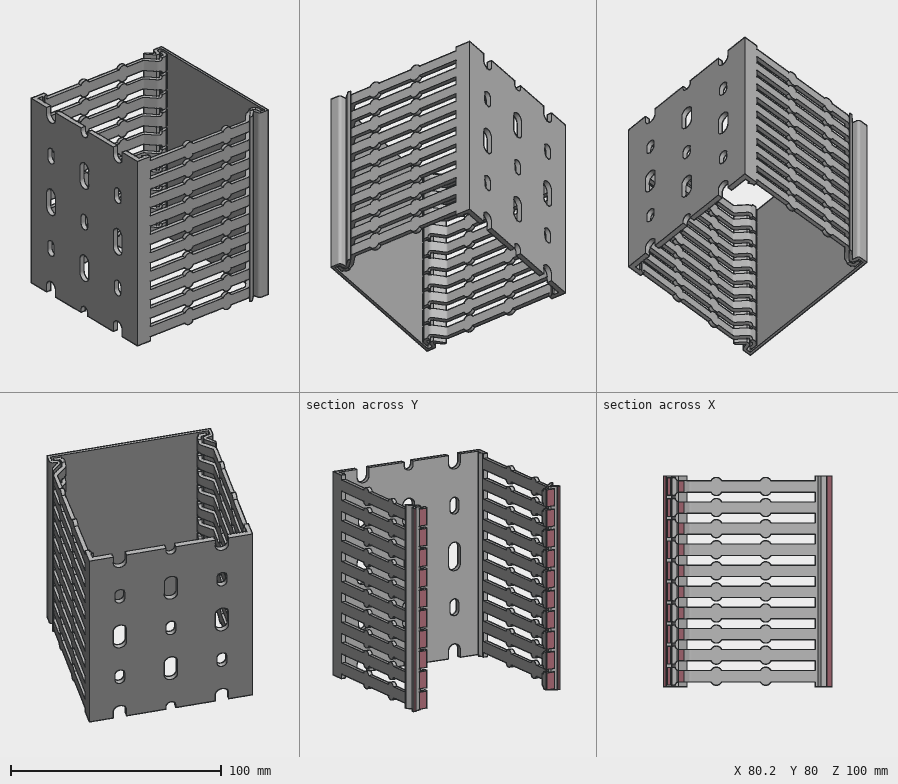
import cadquery as cq
import math


length = 100.0
depth = 80.0
cover_width = 80.2
duct_width = 80.0

floor_y = -depth / 2
cover_y = depth / 2
half_duct = duct_width / 2
half_cover = cover_width / 2

floor_thickness = 2.6
wall_foot_thickness = 2.2
wall_top_thickness = 1.8
skirt_height = 8.0

barb_top_y = floor_y + 6.8
barb_height = 1.6
barb_depth = 1.1

snap_angle = 42.0
snap_slope = math.tan(math.radians(snap_angle))
snap_rise = 1 / math.cos(math.radians(snap_angle))
snap_start_y = 28.5
snap_thickness = 2.1
bend_outer_radius = 3.0
bend_inner_radius = 1.5

hook_outer_x = 34.3
hook_thickness = 1.8
hook_inner_x = hook_outer_x - hook_thickness
hook_lip_x = 37.4
hook_bottom_y = 36.5
hook_top_y = 38.2
hook_chamfer = 0.6
hook_inner_chamfer = 1.0
hook_root_radius = 3.0

cover_thickness = 1.4
cover_lip_thickness = 1.3
cover_inner_y = cover_y - cover_thickness
lip_outer_y = 34.6
lip_inner_y = 36.2
lip_drop = 0.8
lip_fold_x = 36.6
lip_inner_x = 35.1
lip_end_y = 28.8
lip_corner_radius = 1.6
lip_end_radius = 1.2
fold_chamfer = 0.8

finger_count = 10
finger_pitch = length / finger_count
finger_height = 5.5
bulge_places = (-8.5, 14.9)
bulge_width = 5.0
bulge_rise = 1.6
head_start_y = 34.3
head_fillet = 1.5

slot_spacing = 25.0
large_slot = (14.0, 6.5)
small_slot = (8.2, 4.8)

match_tolerance = 0.01


def mirrored(points):
    """Continue an outline on the -X side with its reflection on the +X side."""
    return points + [(-x, y) for x, y in reversed(points)]


def corner_edges(body, corners):
    """Edges along Z that stand on the given corners, on both sides of X = 0."""
    edges = body.edges("|Z").vals()
    both_sides = mirrored(corners)
    found = [e for e in edges
             if any(math.dist(e.Center().toTuple()[:2], c) < match_tolerance for c in both_sides)]
    return body.newObject(found)


def snap_plane_y(x):
    """Height of the inclined contact plane at the distance x from the middle."""
    return snap_start_y + snap_slope * (half_duct - x)


def duct_section():
    """Full-length extrusion of the duct: floor, tapered walls, barbs and hooks."""
    foot_x = half_duct - wall_foot_thickness
    top_x = half_duct - wall_top_thickness
    barb_bottom_y = barb_top_y - barb_height
    snap_drop = snap_thickness * snap_rise
    outer_bend = (-half_duct, snap_start_y)
    inner_bend = (-top_x, snap_plane_y(top_x) - snap_drop)
    hook_root = (-hook_inner_x, snap_plane_y(hook_inner_x) - snap_drop)
    points = [
        (-half_duct, floor_y),
        outer_bend,
        (-hook_outer_x, snap_plane_y(hook_outer_x)),
        (-hook_outer_x, hook_bottom_y - hook_chamfer),
        (-hook_outer_x - hook_chamfer, hook_bottom_y),
        (-hook_lip_x + hook_chamfer, hook_bottom_y),
        (-hook_lip_x, hook_bottom_y + hook_chamfer),
        (-hook_lip_x, hook_top_y),
        (-hook_inner_x - hook_inner_chamfer, hook_top_y),
        (-hook_inner_x - hook_inner_chamfer, hook_bottom_y + hook_inner_chamfer),
        (-hook_inner_x, hook_bottom_y),
        hook_root,
        inner_bend,
        (-foot_x, barb_top_y),
        (-foot_x + barb_depth, barb_bottom_y),
        (-foot_x, barb_bottom_y),
        (-foot_x, floor_y + floor_thickness),
    ]
    section = (cq.Workplane("XY").workplane(offset=-length / 2)
               .polyline(mirrored(points)).close().extrude(length))
    section = corner_edges(section, [outer_bend]).fillet(bend_outer_radius)
    section = corner_edges(section, [hook_root]).fillet(hook_root_radius)
    return corner_edges(section, [inner_bend]).fillet(bend_inner_radius)


def finger_mask(z):
    """Bar across both walls with the side outline of one finger centred at z.

    The finger grows out of the skirt, bulges twice and widens into a head at the hook.
    """
    half = finger_height / 2
    start_y = floor_y + skirt_height / 2
    head_half = half + head_fillet
    arc_offset = head_fillet * (1 - math.sqrt(0.5))
    mask = cq.Workplane("YZ").workplane(offset=-half_duct).moveTo(start_y, z)
    mask = mask.lineTo(start_y, z + half)
    for y in bulge_places:
        mask = mask.lineTo(y - bulge_width / 2, z + half)
        mask = mask.threePointArc((y, z + half + bulge_rise), (y + bulge_width / 2, z + half))
    mask = mask.lineTo(head_start_y - head_fillet, z + half)
    mask = mask.threePointArc((head_start_y - arc_offset, z + half + arc_offset),
                              (head_start_y, z + head_half))
    mask = mask.lineTo(cover_y, z + head_half).lineTo(cover_y, z)
    upper = mask.close().extrude(duct_width)
    return upper.union(upper.mirror("XY", (0, 0, z)))


def floor_slots():
    """Large and small slots alternating on a square grid, the outer rows cut by the ends."""
    slots = cq.Workplane("XZ", origin=(0, floor_y + floor_thickness, 0))
    large_places = []
    small_places = []
    for column in range(-1, 2):
        for row in range(-2, 3):
            place = (column * slot_spacing, row * slot_spacing)
            if (column + row) % 2:
                large_places.append(place)
            else:
                small_places.append(place)
    large = slots.pushPoints(large_places).slot2D(*large_slot, 90).extrude(floor_thickness)
    small = slots.pushPoints(small_places).slot2D(*small_slot, 90).extrude(floor_thickness)
    return large.union(small)


def make_duct():
    """Duct whose walls above the skirt are cut into fingers and whose floor is slotted."""
    mask = cq.Workplane("XY").box(duct_width, skirt_height, length).translate(
        (0, floor_y + skirt_height / 2, 0))
    for index in range(finger_count):
        mask = mask.union(finger_mask((index + 0.5) * finger_pitch - length / 2))
    return duct_section().intersect(mask).cut(floor_slots())


def make_cover():
    """Flat cover with folded lips that snap around the hooks of the duct."""
    lip_rise = cover_lip_thickness * snap_rise
    inner_x = half_cover - cover_thickness
    lip_end_x = half_duct - (lip_end_y - snap_start_y) / snap_slope
    outer_corner = (-half_cover, lip_outer_y)
    end_corner = (-half_cover, snap_plane_y(half_cover) + lip_rise)
    points = [
        (-half_cover, cover_y),
        outer_corner,
        (-lip_fold_x, lip_outer_y - lip_drop),
        end_corner,
        (-half_cover, lip_end_y),
        (-lip_end_x, lip_end_y),
        (-lip_inner_x, snap_plane_y(lip_inner_x)),
        (-lip_inner_x, lip_inner_y - lip_drop - fold_chamfer),
        (-lip_inner_x - fold_chamfer, lip_inner_y - lip_drop),
        (-inner_x, lip_inner_y),
        (-inner_x, cover_inner_y),
    ]
    cover = (cq.Workplane("XY").workplane(offset=-length / 2)
             .polyline(mirrored(points)).close().extrude(length))
    cover = corner_edges(cover, [outer_corner]).fillet(lip_corner_radius)
    return corner_edges(cover, [end_corner]).fillet(lip_end_radius)


duct = make_duct()
cover = make_cover()

result = cq.Compound.makeCompound([duct.val(), cover.val()])